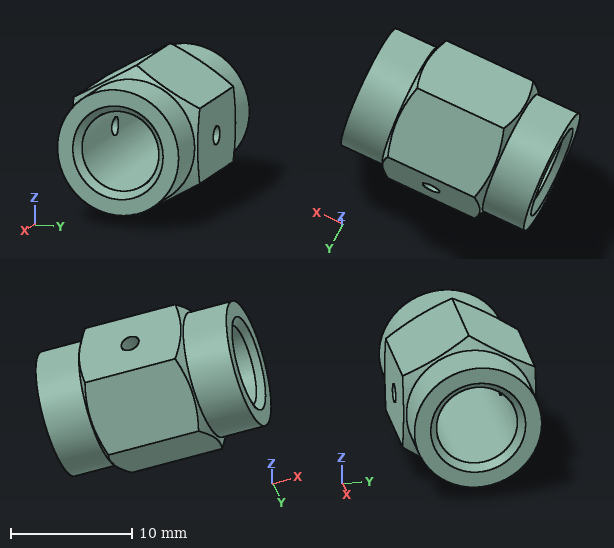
import cadquery as cq
import math


length = 16.76
sleeve_diameter = 10.68
bore_diameter = 6.77
bore_mouth_diameter = 7.95
bore_chamfer = (bore_mouth_diameter - bore_diameter) / 2

across_flats = 11.11
across_corners = across_flats / math.cos(math.radians(30))
collar_length = 9.18
bevel_angle = 30.0

cross_hole_diameter = 1.55


def corner_envelope():
    """Turned shape whose conical ends bevel the corners of the hexagon."""
    half_length = collar_length / 2
    end_radius = sleeve_diameter / 2
    corner_radius = across_corners / 2
    bevel_length = (corner_radius - end_radius) * math.tan(math.radians(bevel_angle))
    return (
        cq.Workplane("XY")
        .moveTo(-half_length, 0)
        .lineTo(-half_length, end_radius)
        .lineTo(-half_length + bevel_length, corner_radius)
        .lineTo(half_length - bevel_length, corner_radius)
        .lineTo(half_length, end_radius)
        .lineTo(half_length, 0)
        .close()
        .revolve(360, (0, 0, 0), (1, 0, 0))
    )


def hex_collar():
    """Bevelled hexagon with flats facing +Y and -Y."""
    hexagon = (
        cq.Workplane("YZ")
        .transformed(rotate=(0, 0, 90))
        .polygon(6, across_corners)
        .extrude(collar_length / 2, both=True)
    )
    return hexagon.intersect(corner_envelope())


def bore():
    """Through bore with a 45 degree chamfer at each mouth."""
    half_length = length / 2
    return (
        cq.Workplane("XY")
        .moveTo(-half_length, 0)
        .lineTo(-half_length, bore_mouth_diameter / 2)
        .lineTo(-half_length + bore_chamfer, bore_diameter / 2)
        .lineTo(half_length - bore_chamfer, bore_diameter / 2)
        .lineTo(half_length, bore_mouth_diameter / 2)
        .lineTo(half_length, 0)
        .close()
        .revolve(360, (0, 0, 0), (1, 0, 0))
    )


def cross_hole():
    """Cylinder along Y that cuts the radial hole."""
    return cq.Workplane("XZ").circle(cross_hole_diameter / 2).extrude(across_flats, both=True)


def make_hex_sleeve():
    """Sleeve and collar in one piece, with the bore and the cross hole cut through."""
    sleeve = cq.Workplane("YZ").circle(sleeve_diameter / 2).extrude(length / 2, both=True)
    return sleeve.union(hex_collar()).cut(bore()).cut(cross_hole())


hex_sleeve = make_hex_sleeve().solids()

result = cq.Compound.makeCompound([hex_sleeve.val()])